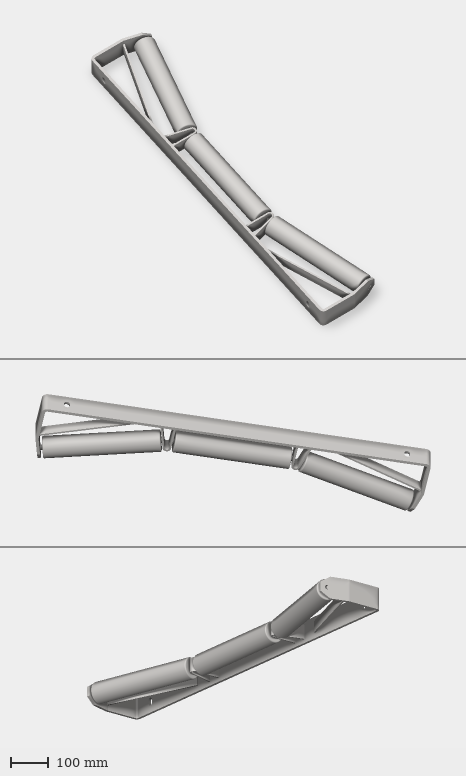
import cadquery as cq
import math

LENGTH = 1050.0
HEIGHT = 187.0
WIDTH = 62.0
TROUGH_ANGLE = 15.0

FRAME_THICKNESS = 8.2
FRAME_BEND_RADIUS = 14.0
ARM_BEND_Y = 107.0
ARM_TIP_WIDTH = 26.0
ARM_TAPER_LENGTH = 27.0
MOUNT_SLOT_X = 460.0
MOUNT_SLOT_LENGTH = 22.0
MOUNT_SLOT_WIDTH = 16.0

ROLLER_LENGTH = 315.0
ROLLER_DIAMETER = 60.0
ROLLER_EDGE_RADIUS = 3.0
MIDDLE_ROLLER_Y = 72.0
OUTER_ROLLER_X = 343.0
OUTER_ROLLER_Y = 118.0

SHAFT_DIAMETER = 15.0
SHAFT_SLOT_LENGTH = 20.0
SHAFT_SLOT_WIDTH = 13.0
SHAFT_SLOT_RISE = (SHAFT_SLOT_LENGTH - SHAFT_DIAMETER) / 2

BRACKET_WIDTH = 40.0
BRACKET_THICKNESS = 5.0
BRACKET_FOLD_RADIUS = 12.0
BRACKET_FACE_X = 163.0
BRACKET_TOP_Y = 95.0

STRUT_ANGLE = 20.0
STRUT_WIDTH = 32.0
STRUT_THICKNESS = 5.0
STRUT_ARM_Y = 104.0

HALF_LENGTH = LENGTH / 2
MID_Z = WIDTH / 2
TILT = math.radians(TROUGH_ANGLE)
FOLD_X = BRACKET_FACE_X + BRACKET_FOLD_RADIUS
FOLD_Y = BRACKET_TOP_Y - BRACKET_FOLD_RADIUS


def along_outer_axis(x, y):
    """Distance of a point from the right-hand roller's centre, measured outward along its axis."""
    return (x - OUTER_ROLLER_X) * math.cos(TILT) + (y - OUTER_ROLLER_Y) * math.sin(TILT)


ARM_OUTER_REACH = along_outer_axis(HALF_LENGTH, ARM_BEND_Y)
ARM_INNER_REACH = ARM_OUTER_REACH - FRAME_THICKNESS
BRACKET_REACH = -along_outer_axis(FOLD_X, FOLD_Y) - BRACKET_FOLD_RADIUS

TIP_X = HALF_LENGTH - (HEIGHT - ARM_BEND_Y) * math.tan(TILT)
TIP_ABOVE_AXIS = (HEIGHT - OUTER_ROLLER_Y) * math.cos(TILT) - (TIP_X - OUTER_ROLLER_X) * math.sin(TILT)


def place_on_outer_axis(body):
    """Move a body built about the X axis onto the axis of the right-hand roller."""
    return (body.rotate((0, 0, 0), (0, 0, 1), TROUGH_ANGLE)
            .translate((OUTER_ROLLER_X, OUTER_ROLLER_Y, MID_Z)))


def place_on_middle_axis(body):
    """Move a body built about the X axis onto the axis of the middle roller."""
    return body.translate((0, MIDDLE_ROLLER_Y, MID_Z))


def shaft_slot(start_x, depth):
    """Solid filling a shaft slot that runs along the X axis, its long side along Y."""
    return (cq.Workplane("YZ", origin=(start_x, SHAFT_SLOT_RISE, 0))
            .slot2D(SHAFT_SLOT_LENGTH, SHAFT_SLOT_WIDTH).extrude(depth))


def frame_half_strip():
    """Right half of the strip: base, upright and leaning arm, with rounded bends."""
    inner_x = HALF_LENGTH - FRAME_THICKNESS
    inner_bend_y = ARM_BEND_Y - FRAME_THICKNESS * math.tan(TILT / 2)
    outline = [
        (0, 0),
        (HALF_LENGTH, 0),
        (HALF_LENGTH, ARM_BEND_Y),
        (TIP_X, HEIGHT),
        (TIP_X - FRAME_THICKNESS * math.cos(TILT), HEIGHT - FRAME_THICKNESS * math.sin(TILT)),
        (inner_x, inner_bend_y),
        (inner_x, FRAME_THICKNESS),
        (0, FRAME_THICKNESS),
    ]
    strip = cq.Workplane("XY").polyline(outline).close().extrude(WIDTH)

    inner_radius = FRAME_BEND_RADIUS - FRAME_THICKNESS
    bends = [
        (HALF_LENGTH, 0, FRAME_BEND_RADIUS),
        (HALF_LENGTH, ARM_BEND_Y, FRAME_BEND_RADIUS),
        (inner_x, inner_bend_y, inner_radius),
        (inner_x, FRAME_THICKNESS, inner_radius),
    ]
    for x, y, radius in bends:
        strip = strip.edges(cq.NearestToPointSelector((x, y, MID_Z))).fillet(radius)
    return strip


def arm_taper():
    """Cutter for the two slanted corners of the arm tip."""
    slant = [
        (TIP_ABOVE_AXIS, WIDTH / 2),
        (TIP_ABOVE_AXIS, ARM_TIP_WIDTH / 2),
        (TIP_ABOVE_AXIS - ARM_TAPER_LENGTH, WIDTH / 2),
    ]
    corner = (cq.Workplane("YZ", origin=(ARM_INNER_REACH, 0, 0))
              .polyline(slant).close().extrude(FRAME_THICKNESS))
    return place_on_outer_axis(corner.union(corner.mirror("XY")))


def make_frame():
    arm_slot = place_on_outer_axis(shaft_slot(ARM_INNER_REACH, FRAME_THICKNESS))
    half = frame_half_strip().cut(arm_taper()).cut(arm_slot)
    mount_slot = (cq.Workplane("XZ").center(MOUNT_SLOT_X, MID_Z)
                  .slot2D(MOUNT_SLOT_LENGTH, MOUNT_SLOT_WIDTH, 90).extrude(-FRAME_THICKNESS))
    half = half.cut(mount_slot)
    return half.union(half.mirror("YZ"))


def folded_outline(radius):
    """Solid filling the bracket's fold of the given radius and the space between its legs."""
    lean_x = FOLD_X + radius * math.cos(TILT)
    lean_y = FOLD_Y + radius * math.sin(TILT)
    foot_x = lean_x + (lean_y - FRAME_THICKNESS) * math.tan(TILT)
    return (cq.Workplane("XY", origin=(0, 0, MID_Z))
            .moveTo(FOLD_X - radius, FRAME_THICKNESS)
            .lineTo(FOLD_X - radius, FOLD_Y)
            .threePointArc((FOLD_X, FOLD_Y + radius), (lean_x, lean_y))
            .lineTo(foot_x, FRAME_THICKNESS)
            .close()
            .extrude(BRACKET_WIDTH / 2, both=True))


def make_bracket():
    """Right-hand bracket: a straight leg at the middle roller, a leaning leg at the outer one."""
    strip = folded_outline(BRACKET_FOLD_RADIUS).cut(folded_outline(BRACKET_FOLD_RADIUS - BRACKET_THICKNESS))
    straight_leg_slot = place_on_middle_axis(shaft_slot(BRACKET_FACE_X, BRACKET_FOLD_RADIUS))
    leaning_leg_slot = place_on_outer_axis(shaft_slot(-BRACKET_REACH, -BRACKET_FOLD_RADIUS))
    return strip.cut(straight_leg_slot).cut(leaning_leg_slot)


def make_strut(frame):
    """Right-hand strut: trimmed to the arm at the top, resting on the base by its lower corner."""
    angle = math.radians(STRUT_ANGLE)
    arm_x = HALF_LENGTH - FRAME_THICKNESS
    foot_x = arm_x - (STRUT_ARM_Y - FRAME_THICKNESS) / math.tan(angle)
    outline = [
        (foot_x, FRAME_THICKNESS),
        (arm_x, STRUT_ARM_Y),
        (arm_x, STRUT_ARM_Y + STRUT_THICKNESS / math.cos(angle)),
        (foot_x - STRUT_THICKNESS * math.sin(angle), FRAME_THICKNESS + STRUT_THICKNESS * math.cos(angle)),
    ]
    return (cq.Workplane("XY", origin=(0, 0, MID_Z)).polyline(outline).close()
            .extrude(STRUT_WIDTH / 2, both=True).cut(frame))


def shaft_bar(start_x, end_x):
    return cq.Workplane("YZ", origin=(start_x, 0, 0)).circle(SHAFT_DIAMETER / 2).extrude(end_x - start_x)


def make_roller(inner_reach, inner_grip, outer_reach, outer_grip):
    """Roller about the X axis; past each reach the shaft is flattened and goes on by the grip."""
    drum = (cq.Workplane("YZ", origin=(-ROLLER_LENGTH / 2, 0, 0))
            .circle(ROLLER_DIAMETER / 2).extrude(ROLLER_LENGTH)
            .edges("%CIRCLE").fillet(ROLLER_EDGE_RADIUS))
    start_x = -inner_reach - inner_grip
    end_x = outer_reach + outer_grip
    flattened_shaft = shaft_bar(start_x, end_x).intersect(shaft_slot(start_x, end_x - start_x))
    return drum.union(shaft_bar(-inner_reach, outer_reach)).union(flattened_shaft)


frame = make_frame()
middle_roller = place_on_middle_axis(
    make_roller(BRACKET_FACE_X, BRACKET_THICKNESS, BRACKET_FACE_X, BRACKET_THICKNESS))
outer_roller = place_on_outer_axis(
    make_roller(BRACKET_REACH, BRACKET_THICKNESS, ARM_INNER_REACH, FRAME_THICKNESS))

right_bodies = [make_bracket(), make_strut(frame), outer_roller]

bodies = [frame, middle_roller]
for right_body in right_bodies:
    bodies += [right_body, right_body.mirror("YZ")]

result = cq.Compound.makeCompound([body.solids().val() for body in bodies])